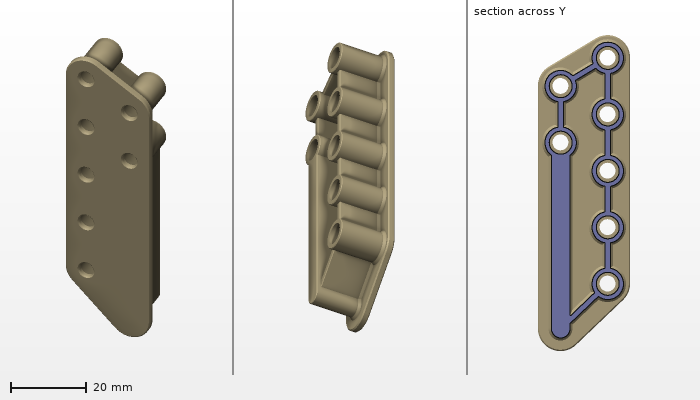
import cadquery as cq
import math

plate_radius = 6.005
plate_thickness = 2.0
plate_chamfer = 0.3

total_depth = 15.0
boss_radius = 8.5 / 2
bolt_radius = 4.2 / 2
nut_radius = 6.0 / 2
bolt_depth = 1.5
mouth_chamfer = 0.3

wall_thickness = 1.5
wall_top = 13.85
rail_radius = 2.5
tip_chamfer = 0.2
base_chamfer = 0.7

hole_pitch = 15.01
left_count = 5
right_count = 2
column_gap = 12.5
plate_height = 84.0

left_x = -column_gap / 2
right_x = column_gap / 2
top_z = plate_height / 2 - plate_radius
right_top_z = top_z - hole_pitch / 2

left_holes = [(left_x, top_z - i * hole_pitch) for i in range(left_count)]
right_holes = [(right_x, right_top_z - i * hole_pitch) for i in range(right_count)]
holes = left_holes + right_holes
low_corner = (right_x, -top_z)
corners = [left_holes[0], right_holes[0], low_corner, left_holes[-1]]


def plane_at(y):
    """Workplane parallel to XZ at depth y; negative extrusions run toward +Y."""
    return cq.Workplane(cq.Plane(origin=(0, y, 0), xDir=(1, 0, 0), normal=(0, -1, 0)))


def disc(centers, radius, y_start, y_end):
    """Round pins from y_start to y_end at each centre."""
    return plane_at(y_start).pushPoints(centers).circle(radius).extrude(y_start - y_end)


def bar(start, end, half_width, y_start, y_end):
    """Straight bar with rounded ends running from start to end."""
    dx = end[0] - start[0]
    dz = end[1] - start[1]
    length = math.hypot(dx, dz)
    middle = ((start[0] + end[0]) / 2, (start[1] + end[1]) / 2)
    angle = math.degrees(math.atan2(dz, dx))
    return (
        plane_at(y_start)
        .center(*middle)
        .slot2D(length + 2 * half_width, 2 * half_width, angle)
        .extrude(y_start - y_end)
    )


def plate():
    """Flat plate: the four corner discs wrapped by their outer tangents."""
    outline = plane_at(0).polyline(corners).close().offset2D(plate_radius)
    return outline.extrude(-plate_thickness).faces("<Y or >Y").chamfer(plate_chamfer)


def frame():
    """Bosses, thin perimeter walls and the thick rail on the right side."""
    bosses = disc(holes, boss_radius, plate_thickness, total_depth)
    rail = bar(right_holes[-1], low_corner, rail_radius, plate_thickness, total_depth)
    body = bosses.union(rail).faces(">Y").chamfer(tip_chamfer)
    for start, end in zip(corners, corners[1:] + corners[:1]):
        wall = bar(start, end, wall_thickness / 2, plate_thickness, wall_top)
        body = body.union(wall.faces(">Y").chamfer(tip_chamfer))
    return body


def bores():
    """Stepped bore with a chamfered mouth, one per boss."""
    narrow = disc(holes, bolt_radius, 0, bolt_depth)
    wide = disc(holes, nut_radius, bolt_depth, total_depth)
    mouth = (
        plane_at(0)
        .pushPoints(holes)
        .circle(bolt_radius + mouth_chamfer)
        .extrude(-mouth_chamfer, taper=45)
    )
    return narrow.union(wide).union(mouth)


def foot_zone():
    """Thin box on the back of the plate that holds the foot of the frame but not the plate rim."""
    margin = 0.4
    return cq.selectors.BoxSelector(
        (left_x - boss_radius - margin, plate_thickness - margin, low_corner[1] - rail_radius - margin),
        (right_x + boss_radius + margin, plate_thickness + margin, top_z + boss_radius + margin),
        boundingbox=True,
    )


body = plate().union(frame())
body = body.edges(foot_zone()).chamfer(base_chamfer)
result = body.cut(bores())